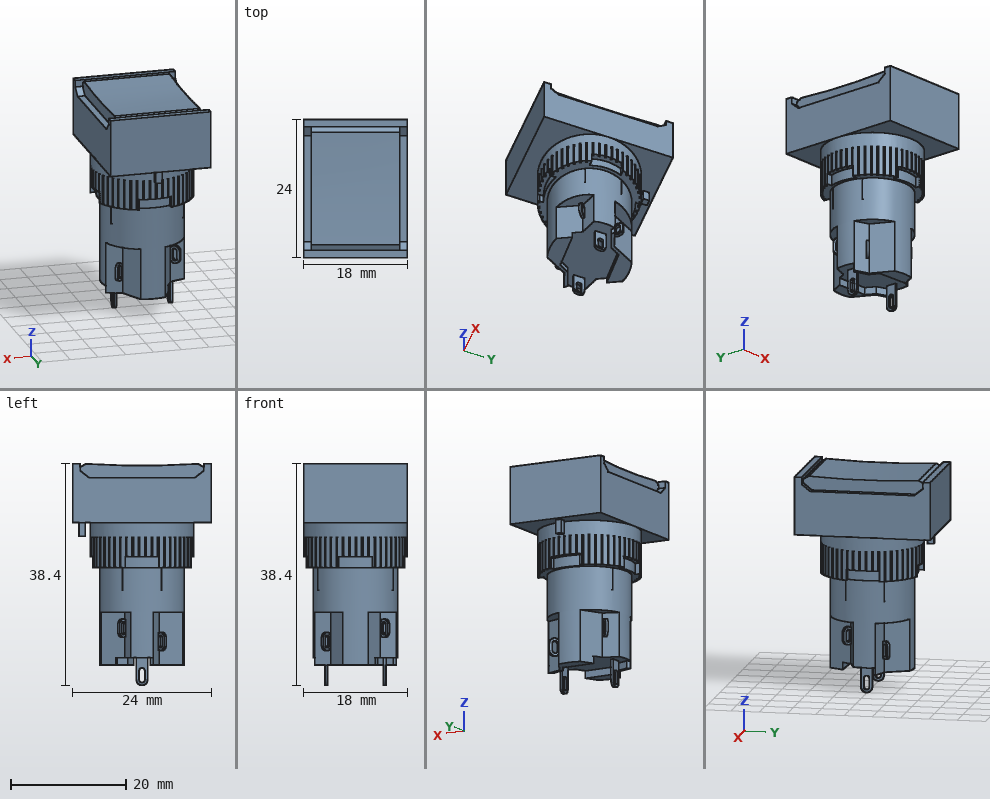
import cadquery as cq
import math

TOP = 38.4
SILL_Z = 36.0
SLOPE_TOP_Z = 37.2
BEZEL_BOTTOM_Z = 28.2
GROOVE_TOP_Z = 25.65
NOTCH_TOP_Z = 22.3
RING_BOTTOM_Z = 20.4
SLIT_BOTTOM_Z = 16.5
NECK_BOTTOM_Z = 12.67
SIDE_LOBE_BOTTOM_Z = 4.8
BASE_BOTTOM_Z = 3.5

BEZEL_X = 18.0
BEZEL_Y = 24.0
RECESS_HALF_Y = 10.7
SILL_HALF_Y = 9.18
BUTTON_X = 15.35
BUTTON_FLAT_HALF_Y = 9.7
BUTTON_CHAMFER_Z = 37.82
DISH_DEPTH = 0.3
KEY_SIDE = 1.1
KEY_Y = 10.35
KEY_LENGTH = 2.4

RING_RADIUS = BEZEL_X / 2
GROOVE_COUNT = 50
FIRST_GROOVE_ANGLE = -89.6
GROOVE_WIDTH = 0.25
GROOVE_DEPTH = 0.35
NOTCH_WIDTH = 5.8
NOTCH_FLOOR_RADIUS = 8.0
NECK_RADIUS = 14.7 / 2
SLIT_WIDTH = 0.05
SLIT_Y = 3.38
SLIT_DEPTH = 1.15

FRONT_LOBE_HALF = 2.2
SIDE_LOBE_HALF = 1.95
VALLEY_X = 4.25
VALLEY_Y = 2.95
UNDERCUT_CORNERS = [(6.55, 1.42), (3.85, 2.5), (2.88, 4.3), (-3.5, 4.57)]

TERMINAL_WIDTH = 2.0
TERMINAL_THICKNESS = 0.45
EYE_WIDTH = 0.95
EYE_MARGIN = 0.5
PIN_X = 5.05
PIN_EYE_LENGTH = 2.5
TAB_HEIGHT = 3.2
TAB_X = 5.03
TAB_Y = 3.35
TAB_ANGLE = 44.0
HIGH_TAB_Z = 9.9
LOW_TAB_Z = 7.6


def cylinder(radius, bottom, top):
    return cq.Workplane("XY", origin=(0, 0, bottom)).circle(radius).extrude(top - bottom)


def block(x_size, y_size, bottom, top, x=0.0, y=0.0):
    return (
        cq.Workplane("XY", origin=(x, y, bottom))
        .rect(x_size, y_size)
        .extrude(top - bottom)
    )


def rim_offset(half_width):
    """Distance from the axis to the chord of the given half width on the neck circle."""
    return math.sqrt(NECK_RADIUS**2 - half_width**2)


def make_button():
    profile = (
        cq.Workplane("YZ", origin=(-BUTTON_X / 2, 0, 0))
        .moveTo(-SILL_HALF_Y, SILL_Z)
        .lineTo(SILL_HALF_Y, SILL_Z)
        .lineTo(RECESS_HALF_Y, SLOPE_TOP_Z)
        .lineTo(RECESS_HALF_Y, BUTTON_CHAMFER_Z)
        .lineTo(BUTTON_FLAT_HALF_Y, TOP)
        .threePointArc((0, TOP - DISH_DEPTH), (-BUTTON_FLAT_HALF_Y, TOP))
        .lineTo(-RECESS_HALF_Y, BUTTON_CHAMFER_Z)
        .lineTo(-RECESS_HALF_Y, SLOPE_TOP_Z)
        .close()
    )
    return profile.extrude(BUTTON_X)


def make_bezel():
    recess = (
        cq.Workplane("YZ", origin=(-BEZEL_X / 2, 0, 0))
        .polyline([
            (-SILL_HALF_Y, SILL_Z),
            (SILL_HALF_Y, SILL_Z),
            (RECESS_HALF_Y, SLOPE_TOP_Z),
            (RECESS_HALF_Y, TOP),
            (-RECESS_HALF_Y, TOP),
            (-RECESS_HALF_Y, SLOPE_TOP_Z),
        ])
        .close()
        .extrude(BEZEL_X)
    )
    key = block(KEY_SIDE, KEY_SIDE, BEZEL_BOTTOM_Z - KEY_LENGTH, BEZEL_BOTTOM_Z, y=KEY_Y)
    return block(BEZEL_X, BEZEL_Y, BEZEL_BOTTOM_Z, TOP).cut(recess).union(key)


def make_ring():
    ring = cylinder(RING_RADIUS, RING_BOTTOM_Z, BEZEL_BOTTOM_Z)
    grooves = (
        cq.Workplane("XY", origin=(0, 0, RING_BOTTOM_Z))
        .polarArray(RING_RADIUS, FIRST_GROOVE_ANGLE, 360, GROOVE_COUNT)
        .rect(2 * GROOVE_DEPTH, GROOVE_WIDTH)
        .extrude(GROOVE_TOP_Z - RING_BOTTOM_Z)
    )
    bar_length = 2 * BEZEL_X
    notches = block(bar_length, NOTCH_WIDTH, RING_BOTTOM_Z, NOTCH_TOP_Z).union(
        block(NOTCH_WIDTH, bar_length, RING_BOTTOM_Z, NOTCH_TOP_Z)
    )
    notches = notches.cut(cylinder(NOTCH_FLOOR_RADIUS, RING_BOTTOM_Z, NOTCH_TOP_Z))
    return ring.cut(grooves).cut(notches)


def make_neck():
    """Plain cylinder with four thin slits that free a tongue on the +X and -X sides."""
    neck = cylinder(NECK_RADIUS, NECK_BOTTOM_Z, RING_BOTTOM_Z)
    slit_x = rim_offset(SLIT_Y)
    for x in (-slit_x, slit_x):
        for y in (-SLIT_Y, SLIT_Y):
            neck = neck.cut(block(2 * SLIT_DEPTH, SLIT_WIDTH, SLIT_BOTTOM_Z, RING_BOTTOM_Z, x, y))
    return neck


def make_base():
    """Round base with a V-shaped valley in each quadrant and undercut +X and -X lobes."""
    base = cylinder(NECK_RADIUS, BASE_BOTTOM_Z, NECK_BOTTOM_Z)
    front_rim = (FRONT_LOBE_HALF, rim_offset(FRONT_LOBE_HALF))
    side_rim = (rim_offset(SIDE_LOBE_HALF), SIDE_LOBE_HALF)
    outside = (BEZEL_X / 2, BEZEL_X / 2)
    for sx in (-1, 1):
        for sy in (-1, 1):
            corners = [(VALLEY_X, VALLEY_Y), front_rim, outside, side_rim]
            valley = (
                cq.Workplane("XY", origin=(0, 0, BASE_BOTTOM_Z))
                .polyline([(sx * x, sy * y) for x, y in corners])
                .close()
                .extrude(NECK_BOTTOM_Z - BASE_BOTTOM_Z)
            )
            base = base.cut(valley)

    outer_x = BEZEL_X / 2
    last_y = UNDERCUT_CORNERS[-1][1]
    half_outline = [(outer_x, SIDE_LOBE_HALF), side_rim, *UNDERCUT_CORNERS, (-outer_x, last_y)]
    undercut = (
        cq.Workplane("XY", origin=(0, 0, BASE_BOTTOM_Z))
        .polyline(half_outline + [(-x, -y) for x, y in half_outline])
        .close()
        .extrude(SIDE_LOBE_BOTTOM_Z - BASE_BOTTOM_Z)
    )
    return base.cut(undercut)


def make_pin(x):
    """Flat terminal with a rounded lower end and an oblong eye."""
    radius = TERMINAL_WIDTH / 2
    plane = cq.Workplane("YZ", origin=(x - TERMINAL_THICKNESS / 2, 0, 0))
    blade = (
        plane.moveTo(-radius, SIDE_LOBE_BOTTOM_Z)
        .lineTo(-radius, radius)
        .threePointArc((0, 0), (radius, radius))
        .lineTo(radius, SIDE_LOBE_BOTTOM_Z)
        .close()
        .extrude(TERMINAL_THICKNESS)
    )
    eye = (
        plane.center(0, EYE_MARGIN + PIN_EYE_LENGTH / 2)
        .slot2D(PIN_EYE_LENGTH, EYE_WIDTH, 90)
        .extrude(TERMINAL_THICKNESS)
    )
    return blade.cut(eye)


def make_tab(sx, sy, z):
    """Oblong terminal with an eye, standing in the valley of quadrant (sx, sy)."""
    plane = cq.Workplane("XZ")
    half_thickness = TERMINAL_THICKNESS / 2
    eye_length = TAB_HEIGHT - 2 * EYE_MARGIN
    outline = plane.slot2D(TAB_HEIGHT, TERMINAL_WIDTH, 90).extrude(half_thickness, both=True)
    eye = plane.slot2D(eye_length, EYE_WIDTH, 90).extrude(half_thickness, both=True)
    tab = outline.cut(eye)
    tab = tab.rotate((0, 0, 0), (0, 0, 1), sx * sy * TAB_ANGLE)
    return tab.translate((sx * TAB_X, sy * TAB_Y, z))


def make_housing():
    housing = make_bezel().union(make_ring()).union(make_neck()).union(make_base())
    for side in (-1, 1):
        housing = housing.union(make_pin(side * PIN_X))
        housing = housing.union(make_tab(side, side, LOW_TAB_Z))
        housing = housing.union(make_tab(side, -side, HIGH_TAB_Z))
    return housing


housing = make_housing()
button = make_button()
result = cq.Compound.makeCompound([housing.val(), button.val()])